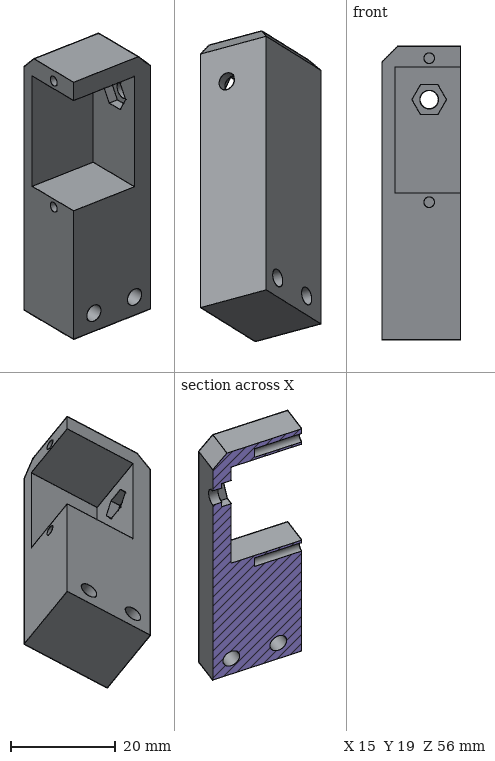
import cadquery as cq

width = 15.0
depth = 19.0
height = 56.0
edge_chamfer = 3.0

side_wall = 2.5
top_wall = 4.0
back_wall = 4.0
pocket_floor = 28.0

bolt_x = 9.0
bolt_diameter = 3.5
bolt_below_top = 10.2
nut_across_corners = 6.6
nut_recess_depth = 2.0

screw_diameter = 2.0
screw_depth = 10.0
upper_screw_below_top = 2.3
lower_screw_below_floor = 1.75

mount_diameter = 3.5
mount_edge_distance = 4.0
mount_spacing = 10.0

pocket_back = depth - back_wall


def front_plane(y):
    """Plane facing -Y at depth y, with local axes along X and Z."""
    return cq.Workplane("XZ", origin=(0, y, 0))


def make_body():
    block = cq.Workplane("XY").box(width, depth, height, centered=False)
    top_edges = block.edges("(<X and >Z) or (>Y and >Z)")
    return top_edges.chamfer(edge_chamfer)


def make_pocket():
    size = (width - side_wall, pocket_back, height - top_wall - pocket_floor)
    corner = (side_wall, 0, pocket_floor)
    return cq.Workplane("XY").box(*size, centered=False).translate(corner)


def make_bolt_cut():
    bolt_z = height - bolt_below_top
    start = front_plane(pocket_back).center(bolt_x, bolt_z)
    hole = start.circle(bolt_diameter / 2).extrude(-back_wall)
    nut = start.polygon(6, nut_across_corners).extrude(-nut_recess_depth)
    return hole.union(nut)


def make_screw_holes():
    centers = [
        (bolt_x, height - upper_screw_below_top),
        (bolt_x, pocket_floor - lower_screw_below_floor),
    ]
    return front_plane(0).pushPoints(centers).circle(screw_diameter / 2).extrude(-screw_depth)


def make_mount_holes():
    rear_y = depth - mount_edge_distance
    centers = [(y, mount_edge_distance) for y in (rear_y, rear_y - mount_spacing)]
    return cq.Workplane("YZ").pushPoints(centers).circle(mount_diameter / 2).extrude(width)


result = make_body()
for cutter in (make_pocket(), make_bolt_cut(), make_screw_holes(), make_mount_holes()):
    result = result.cut(cutter)